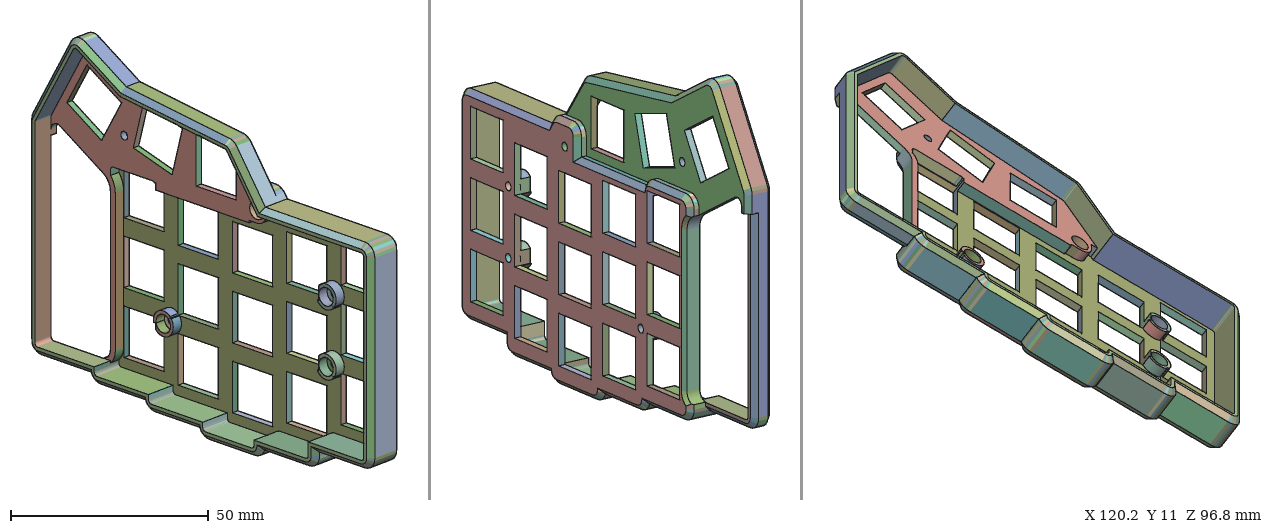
import cadquery as cq
import math


MAIN_TOP = 11.0
THUMB_TOP = 8.0
RIM_TOP = 6.0
PLATE = 2.0
THUMB_FLOOR = THUMB_TOP - PLATE
MAIN_FLOOR = MAIN_TOP - PLATE

WALL = 2.5
EDGE_CHAMFER = 1.5
CORNER_RADIUS = 3.5
FACET_ANGLE = 15.0

KEY_HOLE = 14.0
KEY_PITCH = 19.0
ROWS = 3
FIRST_COLUMN_X = 32.1
LOWEST_KEY_Z = 12.35
STAGGER = 2.35
COLUMN_STEPS = (2, 1, 0, 1, 3)
THUMB_KEYS = ((17.55, 78.1, -30.0), (39.85, 74.5, -15.0), (60.25, 72.15, 0.0))

WIDTH = 120.15
RIM_Z = max(COLUMN_STEPS) * STAGGER
ABOVE_CASE_Z = 100.0
MAIN_TOP_Z = 68.45
LEFT_MARGIN = 11.3
RIGHT_MARGIN = 11.65
LEFT_BEND_Z = 71.2
THUMB_BEND = (33.1, 87.95)
THUMB_CORNER = (70.85, 83.55)
NOTCH_X = 81.8
APEX_SLOPE = math.radians(30)

RAISED_TOP_Z = 64.9
LOW_RIM_Z = 65.15
RAISED_STEP_Z = 62.7
RAISED_STEP_X = 41.4
BOSS_BLOCK_X = 69.3
BOSS_BLOCK_Z = 71.4
NOTCH_FILL_Z = 66.9

WINDOW_RIGHT = 23.2
WINDOW_SLOPE_POINT = (21.2, 59.5)
WINDOW_TOP_RADIUS = 2.0
WINDOW_SIDE_RADIUS = 5.0
WINDOW_FOOT_RADIUS = 3.0
WINDOW_WALL = 1.75
WINDOW_CHAMFER = 1.0

SCREW_HOLE = 2.3
INSERT_HOLE = 5.0
INSERT_DEPTH = 3.0
BOSS_DIAMETER = 7.0
MAIN_BOSSES = ((41.75, 24.6), (98.75, 47.4), (98.75, 28.35))
THUMB_BOSS = (74.5, 64.35)
THUMB_SCREW = (28.05, 72.0)


def column_x(column):
    return FIRST_COLUMN_X + column * KEY_PITCH


def level(y):
    """Sketch plane at height y; its local axes are X and Z."""
    return cq.Workplane("XZ", origin=(0, y, 0))


def prism(sketch, height):
    """Extrude a sketch from its plane towards +Y."""
    return sketch.extrude(-height)


def inset_outline(corners, inset):
    """Points of a counter-clockwise outline moved inwards, its convex corners faceted."""
    points = []
    radius = CORNER_RADIUS - inset
    for i, (x, z) in enumerate(corners):
        before = corners[i - 1]
        after = corners[(i + 1) % len(corners)]
        heading_in = math.atan2(z - before[1], x - before[0])
        heading_out = math.atan2(after[1] - z, after[0] - x)
        turn = math.remainder(heading_out - heading_in, 2 * math.pi)
        inward = heading_in + turn / 2 + math.pi / 2
        convex = turn > 0
        reach = (CORNER_RADIUS if convex else inset) / math.cos(turn / 2)
        cx = x + reach * math.cos(inward)
        cz = z + reach * math.sin(inward)
        if not convex:
            points.append((cx, cz))
            continue
        facets = max(1, round(math.degrees(turn) / FACET_ANGLE))
        for k in range(facets + 1):
            normal = heading_in - math.pi / 2 + turn * k / facets
            points.append((cx + radius * math.cos(normal), cz + radius * math.sin(normal)))
    return points


def outline_at(corners, inset, y):
    return level(y).polyline(inset_outline(corners, inset)).close()


def bevel(corners, y_from, inset_from, y_to, inset_to):
    """Ruled band between two insets of the same outline."""
    lower = outline_at(corners, inset_from, y_from).val()
    upper = outline_at(corners, inset_to, y_to).val()
    return cq.Workplane(cq.Solid.makeLoft([lower, upper], True))


def chamfered_block(corners, top):
    """Block from Y = 0 to top with both outer edges chamfered."""
    straight = top - 2 * EDGE_CHAMFER
    block = prism(outline_at(corners, 0, EDGE_CHAMFER), straight)
    block = block.union(bevel(corners, 0, EDGE_CHAMFER, EDGE_CHAMFER, 0))
    return block.union(bevel(corners, top - EDGE_CHAMFER, 0, top, EDGE_CHAMFER))


def raised_block(corners):
    """Block that starts inside the base block and ends at the main plate."""
    shoulder = MAIN_TOP - EDGE_CHAMFER
    block = prism(outline_at(corners, 0, EDGE_CHAMFER), shoulder - EDGE_CHAMFER)
    return block.union(bevel(corners, shoulder, 0, MAIN_TOP, EDGE_CHAMFER))


def stair_corners():
    """Bottom edge of the raised block, from its left wall to its right wall."""
    edges = [column_x(column) - LEFT_MARGIN for column in (0, 1, 2)]
    edges += [column_x(column) + RIGHT_MARGIN for column in (2, 3)] + [WIDTH]
    corners = []
    for column, steps in enumerate(COLUMN_STEPS):
        corners.append((edges[column], steps * STAGGER))
        corners.append((edges[column + 1], steps * STAGGER))
    return corners


def case_corners():
    stairs = stair_corners()
    bend_x, bend_z = THUMB_BEND
    slope = math.tan(APEX_SLOPE)
    apex_x = (bend_z + bend_x * slope - LEFT_BEND_Z) / (slope + 1 / slope)
    apex_z = LEFT_BEND_Z + apex_x / slope
    corners = [(0, RIM_Z), (stairs[0][0], RIM_Z)] + stairs
    corners += [(WIDTH, MAIN_TOP_Z), (NOTCH_X, MAIN_TOP_Z), THUMB_CORNER, THUMB_BEND]
    return corners + [(apex_x, apex_z), (0, LEFT_BEND_Z)]


def raised_corners():
    stairs = stair_corners()
    left = stairs[0][0]
    along = (BOSS_BLOCK_Z - MAIN_TOP_Z) / (THUMB_CORNER[1] - MAIN_TOP_Z)
    slant_x = NOTCH_X + along * (THUMB_CORNER[0] - NOTCH_X)
    corners = stairs + [(WIDTH, MAIN_TOP_Z), (NOTCH_X, MAIN_TOP_Z)]
    corners += [(slant_x, BOSS_BLOCK_Z), (BOSS_BLOCK_X, BOSS_BLOCK_Z), (BOSS_BLOCK_X, RAISED_STEP_Z)]
    corners += [(RAISED_STEP_X, RAISED_STEP_Z), (RAISED_STEP_X, RAISED_TOP_Z)]
    return corners + [(left, RAISED_TOP_Z)]


def window_prism(y, height, grow=0.0):
    """Controller window: straight left and foot, sloped top, grown outwards by `grow`."""
    left = WALL
    foot = RIM_Z + WALL
    slope = math.tan(APEX_SLOPE)
    side_z = WINDOW_SLOPE_POINT[1] - (WINDOW_RIGHT - WINDOW_SLOPE_POINT[0]) * slope
    top_z = WINDOW_SLOPE_POINT[1] + (WINDOW_SLOPE_POINT[0] - left) * slope
    corners = [(left, foot), (WINDOW_RIGHT, foot), (WINDOW_RIGHT, side_z), (left, top_z)]
    radii = [CORNER_RADIUS - WALL, WINDOW_FOOT_RADIUS, WINDOW_SIDE_RADIUS, WINDOW_TOP_RADIUS]
    block = prism(level(y).polyline(corners).close(), height)
    for (x, z), radius in zip(corners, radii):
        edge = cq.selectors.NearestToPointSelector((x, y + height / 2, z))
        block = block.edges(edge).fillet(radius)
    if grow:
        rim = block.faces("<Y").wires().val()
        block = prism(level(y).add(rim).toPending().offset2D(grow), height)
    return block


def cylinder(place, diameter, y_from, y_to):
    return prism(level(y_from).center(*place).circle(diameter / 2), y_to - y_from)


def key_holes():
    holes = []
    for column, steps in enumerate(COLUMN_STEPS):
        for row in range(ROWS):
            holes.append((column_x(column), LOWEST_KEY_Z + steps * STAGGER + row * KEY_PITCH, 0.0))
    cutter = cq.Workplane()
    for x, z, tilt in holes + list(THUMB_KEYS):
        sketch = level(0).center(x, z).transformed(rotate=(0, 0, tilt)).rect(KEY_HOLE, KEY_HOLE)
        cutter = cutter.add(prism(sketch, MAIN_TOP))
    return cutter.combine()


def box(x_from, x_to, y_from, y_to, z_from, z_to):
    size = (x_to - x_from, y_to - y_from, z_to - z_from)
    return cq.Workplane().box(*size, centered=False).translate((x_from, y_from, z_from))


def thumb_boss_block():
    """Solid corner that carries the thumb-side screw, rounded about the screw."""
    radius = BOSS_DIAMETER / 2
    x, z = THUMB_BOSS
    heights = (THUMB_FLOOR, MAIN_FLOOR)
    boss = cylinder(THUMB_BOSS, BOSS_DIAMETER, *heights)
    boss = boss.union(box(BOSS_BLOCK_X, x, *heights, z - radius, BOSS_BLOCK_Z))
    boss = boss.union(box(x, x + radius, *heights, z, BOSS_BLOCK_Z))
    return boss.union(box(x, NOTCH_X, *heights, NOTCH_FILL_Z, BOSS_BLOCK_Z))


def case_body():
    case = case_corners()
    above_foot_z = RIM_Z + WALL + WINDOW_FOOT_RADIUS
    thumb_side = box(WALL, WIDTH, 0, THUMB_TOP, above_foot_z, ABOVE_CASE_Z)
    thumb_side = thumb_side.union(box(0, WIDTH, 0, THUMB_TOP, LOW_RIM_Z, ABOVE_CASE_Z))
    body = chamfered_block(case, RIM_TOP)
    body = body.union(chamfered_block(case, THUMB_TOP).intersect(thumb_side))
    return body.union(raised_block(raised_corners()))


def cavity():
    """Tray down to the thumb plate, and the deeper pocket under the main plate."""
    tray = prism(outline_at(case_corners(), WALL, 0), THUMB_FLOOR)
    pocket = prism(outline_at(raised_corners(), WALL, THUMB_FLOOR), MAIN_FLOOR - THUMB_FLOOR)
    pocket = pocket.cut(window_prism(THUMB_FLOOR, MAIN_FLOOR - THUMB_FLOOR, WINDOW_WALL))
    pocket = pocket.cut(thumb_boss_block())
    for place in MAIN_BOSSES:
        pocket = pocket.cut(cylinder(place, BOSS_DIAMETER, THUMB_FLOOR, MAIN_FLOOR))
    return tray.union(pocket)


def controller_window():
    chamfer_start = MAIN_TOP - WINDOW_CHAMFER
    opening = window_prism(0, MAIN_TOP)
    rim = opening.faces(">Y").wires().val().translate(cq.Vector(0, -WINDOW_CHAMFER, 0))
    flare = level(chamfer_start).add(rim).toPending().extrude(-WINDOW_CHAMFER, taper=-45)
    return opening.union(flare)


def screw_holes():
    """Through holes for all screws, widened for inserts where a boss carries them."""
    insert_bosses = MAIN_BOSSES + (THUMB_BOSS,)
    holes = cylinder(THUMB_SCREW, SCREW_HOLE, 0, MAIN_TOP)
    for place in insert_bosses:
        holes = holes.add(cylinder(place, SCREW_HOLE, 0, MAIN_TOP))
        holes = holes.add(cylinder(place, INSERT_HOLE, THUMB_FLOOR, THUMB_FLOOR + INSERT_DEPTH))
    return holes.combine()


result = case_body().cut(cavity()).cut(controller_window()).cut(key_holes()).cut(screw_holes())